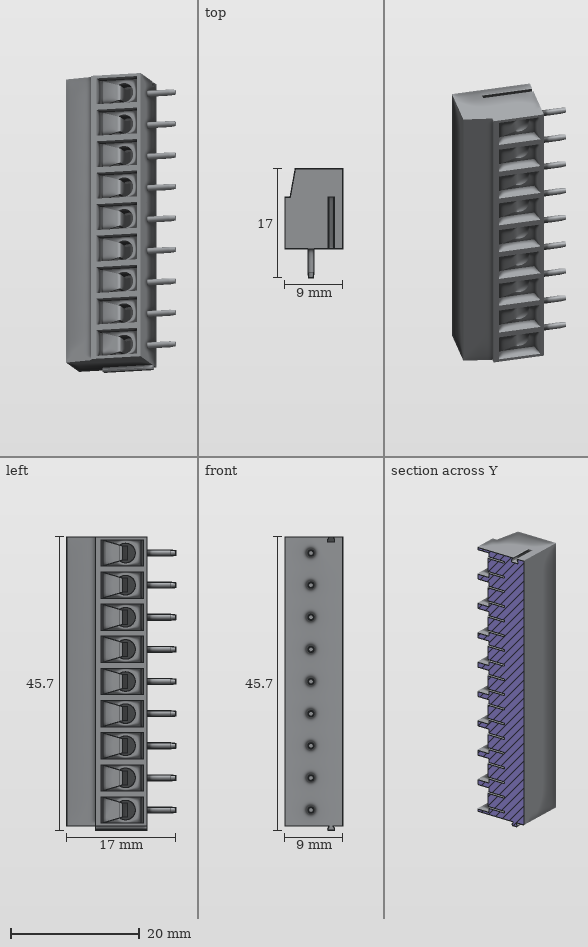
import cadquery as cq

poles = 9
pitch = 5.0
body_width = 9.0
body_depth = 12.5
body_height = poles * pitch

step_y = 8.05
step_inset = 0.8
lean_inset = 1.6

pocket_y_min = 0.55
pocket_y_max = 7.15
pocket_height = 4.1
pocket_depth = 2.2
pocket_ramp = 0.43

hole_diameter = 3.05
hole_y = 3.35
hole_depth = 3.0

guard_y_max = 6.87
guard_thickness = 0.35
guard_wide = 4.0
guard_narrow = 2.2
guard_bend_length = 0.48
guard_bend_drop = 0.25
guard_inner_y = 3.83
guard_foot_y = 3.08
guard_foot_rise = 0.35

pin_x = 4.05
pin_diameter = 0.95
pin_shoulder_length = 3.65
pin_tip_diameter = 0.75
pin_length = 4.5

rail_x = 7.2
rail_neck_width = 0.65
rail_wide_width = 1.1
rail_end_width = 0.95
rail_flare = 0.43
rail_height = 0.68
groove_mouth_width = 0.95
groove_mouth_depth = 0.08
groove_depth = 0.75

overlap = 0.5


def make_body():
    return (
        cq.Workplane("XY")
        .moveTo(0, 0)
        .lineTo(body_width, 0)
        .lineTo(body_width, body_depth)
        .lineTo(lean_inset, body_depth)
        .lineTo(step_inset, step_y)
        .lineTo(0, step_y)
        .close()
        .extrude(body_height)
    )


def make_dovetail(end_z, end_width, height):
    """Dovetail prism below end_z, running from the front face to the step."""
    profile = (
        cq.Workplane("XZ")
        .moveTo(rail_x - rail_neck_width / 2, end_z)
        .lineTo(rail_x - rail_wide_width / 2, end_z - rail_flare)
        .lineTo(rail_x - end_width / 2, end_z - height)
        .lineTo(rail_x + end_width / 2, end_z - height)
        .lineTo(rail_x + rail_wide_width / 2, end_z - rail_flare)
        .lineTo(rail_x + rail_neck_width / 2, end_z)
        .close()
    )
    return profile.extrude(-step_y)


def make_groove():
    """Cutter for the dovetail groove, with its mouth edges chamfered."""
    dovetail = make_dovetail(body_height, rail_wide_width, groove_depth)
    mouth_floor_z = body_height - groove_mouth_depth
    mouth = (
        cq.Workplane("XZ")
        .moveTo(rail_x - groove_mouth_width / 2, body_height)
        .lineTo(rail_x - rail_neck_width / 2, mouth_floor_z)
        .lineTo(rail_x + rail_neck_width / 2, mouth_floor_z)
        .lineTo(rail_x + groove_mouth_width / 2, body_height)
        .close()
        .extrude(-step_y)
    )
    return dovetail.union(mouth)


def make_pocket(pole_z):
    """Cutter for one wire entry: ramped rectangular pocket and round wire hole."""
    pocket = (
        cq.Workplane("XY", origin=(0, 0, pole_z))
        .moveTo(0, pocket_y_min)
        .lineTo(pocket_depth, pocket_y_min + pocket_ramp)
        .lineTo(pocket_depth, pocket_y_max)
        .lineTo(0, pocket_y_max)
        .close()
        .extrude(pocket_height / 2, both=True)
    )
    hole = (
        cq.Workplane("YZ", origin=(pocket_depth, hole_y, pole_z))
        .circle(hole_diameter / 2)
        .extrude(hole_depth)
    )
    return pocket.union(hole)


def make_guard(pole_z):
    """Leaf with rounded ends, tapered towards the wire hole, with a sloped foot at its bottom."""
    face_x = pocket_depth - guard_thickness
    hole_floor_x = pocket_depth + hole_depth
    back_x = hole_floor_x + overlap
    bend_y = guard_inner_y + guard_bend_length
    bend_radius = (guard_bend_length**2 + guard_bend_drop**2) / (2 * guard_bend_drop)
    profile = (
        cq.Workplane("XY", origin=(0, 0, pole_z))
        .moveTo(back_x, guard_y_max)
        .lineTo(pocket_depth, guard_y_max)
        .radiusArc((face_x, guard_y_max - guard_thickness), -guard_thickness)
        .lineTo(face_x, bend_y)
        .radiusArc((face_x + guard_bend_drop, guard_inner_y), -bend_radius)
        .lineTo(hole_floor_x, guard_inner_y)
        .lineTo(hole_floor_x - guard_foot_rise, guard_foot_y)
        .lineTo(back_x, guard_foot_y)
        .close()
        .extrude(guard_wide / 2, both=True)
    )
    outline = (
        cq.Workplane("YZ", origin=(0, 0, pole_z))
        .moveTo(guard_y_max, guard_wide / 2)
        .lineTo(guard_inner_y, guard_narrow / 2)
        .lineTo(guard_foot_y, guard_narrow / 2)
        .lineTo(guard_foot_y, -guard_narrow / 2)
        .lineTo(guard_inner_y, -guard_narrow / 2)
        .lineTo(guard_y_max, -guard_wide / 2)
        .close()
        .extrude(back_x)
    )
    return profile.intersect(outline)


def make_pin(pole_z):
    """Round pin with a tapered tip, pointing to -Y."""
    profile = (
        cq.Workplane("XY", origin=(pin_x, 0, pole_z))
        .moveTo(0, overlap)
        .lineTo(-pin_diameter / 2, overlap)
        .lineTo(-pin_diameter / 2, -pin_shoulder_length)
        .lineTo(-pin_tip_diameter / 2, -pin_length)
        .lineTo(0, -pin_length)
        .close()
    )
    return profile.revolve(360, (0, 0), (0, 1))


result = make_body()
result = result.cut(make_groove())
result = result.union(make_dovetail(0, rail_end_width, rail_height))
for pole in range(poles):
    center_z = (pole + 0.5) * pitch
    result = result.cut(make_pocket(center_z))
    result = result.union(make_guard(center_z))
    result = result.union(make_pin(center_z))